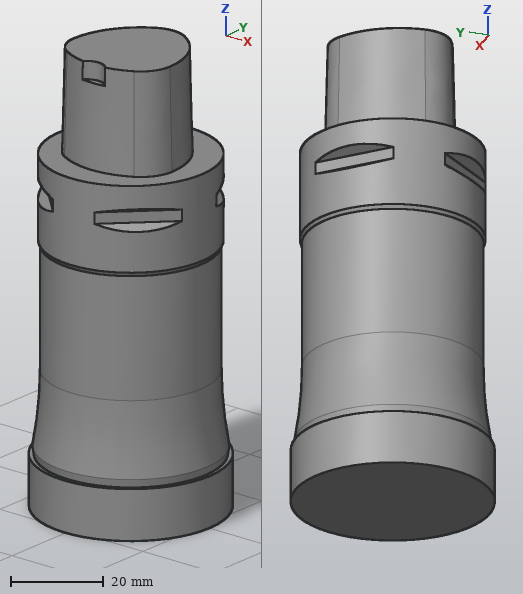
import cadquery as cq
import math

TOTAL_HEIGHT = 105
NUT_HEIGHT = 12.0
FLARE_BOTTOM = 13.9
FLARE_TOP = 31.4
COLLAR_BOTTOM = 60.1
COLLAR_TOP = 81.0

NUT_RADIUS = 44.0 / 2
FLARE_RADIUS = 42.4 / 2
FOOT_RADIUS = 41.9 / 2
BARREL_RADIUS = 39.2 / 2
COLLAR_RADIUS = 40.0 / 2
COLLAR_CHAMFER_HEIGHT = 0.9

SHANK_BASE_WIDTH = 28.1
SHANK_TAPER = 1 / 20
LOBE_SPACING = 10.6

NOTCH_RADIUS = 4.0
NOTCH_FLOOR_Y = -10.9
NOTCH_DEPTH = 4.2

SLOT_COUNT = 4
SLOT_FIRST_ANGLE = 45
SLOT_Z = 73.0
SLOT_FLOOR_DISTANCE = 17.6
SLOT_FLOOR_HEIGHT = 2.6
SLOT_MOUTH_HEIGHT = 5.2


def polar(radius, angle):
    """Point at a given radius and angle in degrees."""
    return (radius * math.cos(math.radians(angle)), radius * math.sin(math.radians(angle)))


def lobed_section(width, z):
    """Constant-width outline: three small lobe arcs joined tangentially by three large arcs."""
    lobe_radius = (width - LOBE_SPACING) / 2
    flank_radius = width - lobe_radius
    centre_distance = LOBE_SPACING / math.sqrt(3)

    def arc_point(centre_angle, radius, direction):
        centre_x, centre_y = polar(centre_distance, centre_angle)
        offset_x, offset_y = polar(radius, direction)
        return (centre_x + offset_x, centre_y + offset_y)

    outline = cq.Workplane("XY", origin=(0, 0, z)).moveTo(*arc_point(90, lobe_radius, 60))
    for lobe in (90, 210, 330):
        flank = lobe + 60
        opposite = flank + 180
        outline = outline.threePointArc(
            arc_point(lobe, lobe_radius, lobe), arc_point(lobe, lobe_radius, lobe + 30)
        )
        outline = outline.threePointArc(
            arc_point(opposite, flank_radius, flank), arc_point(opposite, flank_radius, flank + 30)
        )
    return outline.close().val()


def make_shank():
    height = TOTAL_HEIGHT - COLLAR_TOP
    top_width = SHANK_BASE_WIDTH - height * SHANK_TAPER
    sections = [lobed_section(SHANK_BASE_WIDTH, COLLAR_TOP), lobed_section(top_width, TOTAL_HEIGHT)]
    shank = cq.Workplane(cq.Solid.makeLoft(sections, True))
    notch = (
        cq.Workplane("XY", origin=(0, NOTCH_FLOOR_Y - NOTCH_RADIUS, TOTAL_HEIGHT - NOTCH_DEPTH))
        .circle(NOTCH_RADIUS)
        .extrude(NOTCH_DEPTH)
    )
    return shank.cut(notch)


def make_barrel():
    """Turned body: foot, flare tangent to the barrel, barrel and collar."""
    flare_height = FLARE_TOP - FLARE_BOTTOM
    flare_growth = FLARE_RADIUS - BARREL_RADIUS
    arc_radius = (flare_height**2 + flare_growth**2) / (2 * flare_growth)
    half_sweep = math.asin(flare_height / arc_radius) / 2
    flare_middle = (
        BARREL_RADIUS + arc_radius * (1 - math.cos(half_sweep)),
        FLARE_TOP - arc_radius * math.sin(half_sweep),
    )
    return (
        cq.Workplane("XZ")
        .moveTo(0, NUT_HEIGHT)
        .lineTo(FOOT_RADIUS, NUT_HEIGHT)
        .lineTo(FLARE_RADIUS, FLARE_BOTTOM)
        .threePointArc(flare_middle, (BARREL_RADIUS, FLARE_TOP))
        .lineTo(BARREL_RADIUS, COLLAR_BOTTOM)
        .lineTo(COLLAR_RADIUS, COLLAR_BOTTOM + COLLAR_CHAMFER_HEIGHT)
        .lineTo(COLLAR_RADIUS, COLLAR_TOP)
        .lineTo(0, COLLAR_TOP)
        .close()
        .revolve(360, (0, 0, 0), (0, 1, 0))
    )


def make_slot_cutter(angle):
    """Straight slot with a flat floor and flanks that flare outwards."""
    half_floor = SLOT_FLOOR_HEIGHT / 2
    half_mouth = SLOT_MOUTH_HEIGHT / 2
    return (
        cq.Workplane("XZ")
        .polyline(
            [
                (SLOT_FLOOR_DISTANCE, SLOT_Z - half_floor),
                (COLLAR_RADIUS, SLOT_Z - half_mouth),
                (COLLAR_RADIUS, SLOT_Z + half_mouth),
                (SLOT_FLOOR_DISTANCE, SLOT_Z + half_floor),
            ]
        )
        .close()
        .extrude(COLLAR_RADIUS, both=True)
        .rotate((0, 0, 0), (0, 0, 1), angle)
    )


def make_holder():
    holder = make_barrel().union(make_shank())
    for index in range(SLOT_COUNT):
        holder = holder.cut(make_slot_cutter(SLOT_FIRST_ANGLE + index * 360 / SLOT_COUNT))
    return holder


def make_nut():
    return cq.Workplane("XY").circle(NUT_RADIUS).extrude(NUT_HEIGHT)


holder = make_holder()
nut = make_nut()

result = cq.Compound.makeCompound([holder.solids().val(), nut.val()])